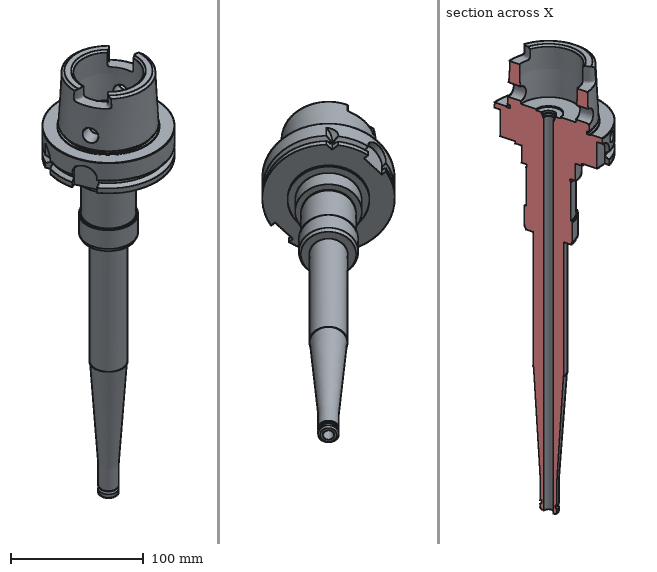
import cadquery as cq
import math

total_length = 386.0
eps = 2.0

flange_top = 336.0
taper_top_radius = 35.5
taper_base_radius = 38.0
rim_chamfer_height = 1.5
rim_chamfer_width = 2.5
taper_top = total_length - rim_chamfer_height
neck_radius = 35.5
neck_height = 1.0
taper_base = 338.0
face_groove_radius = 38.5
face_groove_depth = 0.8

flange_radius = 100.0 / 2
flange_edge = 0.5
groove_top = 319.5
groove_floor_top = 317.3
groove_floor_bottom = 314.5
groove_bottom = 312.5
groove_floor_radius = 46.0
flange_bottom = 308.0
hub_radius = 31.0
hub_bottom = 306.0

boss_radius = 25.0
boss_bottom = 291.5
undercut_radius = 20.0
undercut_bottom = 289.0
undercut_slope = 1.5
neck_body_radius = 21.0
collar_radius = 22.5
collar_top = 256.3
collar_bottom = 235.5
collar_top_chamfer = 0.8
collar_bottom_chamfer_height = 3.0
collar_bottom_chamfer_width = 1.5

shaft_radius = 29.0 / 2
cone_top = 121.0
cone_top_radius = 28.0 / 2
cone_bottom = 27.8
tip_radius = 16.0 / 2
tip_groove_radius = 13.0 / 2
tip_groove_top = 7.7
tip_groove_floor_bottom = 6.0
tip_groove_bottom = 4.5
tip_chamfer = 1.5

bore_radius = 53.0 / 2
bore_mouth_radius = 28.0
bore_mouth_chamfer = 1.5
bore_cone_top = 365.5
bore_floor_radius = 25.0
bore_floor = 342.0
recess_radius = 22.5 / 2
recess_depth = 1.0
coolant_radius = 8.5 / 2
coolant_mouth_radius = 12.0 / 2
coolant_mouth_depth = 2.0
coolant_step_radius = 10.0 / 2
coolant_step_depth = 4.0

cross_hole_z = 350.5
cross_hole_radius = 12.0 / 2
cross_sink_radius = 13.0 / 2
cross_sink_depth = 2.0

key_half_width = 10.5
key_flare_radius = 5.8
key_flare_start = 26.5
key_inner_end = 19.3
key_outer_end = 40.5
key_floor_fillet = 2.5
front_key_floor = 375.5
back_key_floor = 371.5

slot_radius = 10.0
slot_top = 330.8
drive_slot_floor = 44.8
notch_wall = 32.0
chip_hole_radius = 9.0 / 2
chip_hole_depth = 4.5
chip_hole_z = 329.5
chip_hole_angle = 108.5


def revolve_profile(points):
    """Solid of revolution about Z from (radius, z) points."""
    return cq.Workplane("XZ").polyline(points).close().revolve(360, (0, 0, 0), (0, 1, 0))


def make_body():
    return revolve_profile([
        (0, 0),
        (tip_radius - tip_chamfer, 0),
        (tip_radius, tip_chamfer),
        (tip_radius, tip_groove_bottom),
        (tip_groove_radius, tip_groove_floor_bottom),
        (tip_groove_radius, tip_groove_top),
        (tip_radius, tip_groove_top),
        (tip_radius, cone_bottom),
        (cone_top_radius, cone_top),
        (shaft_radius, cone_top),
        (shaft_radius, collar_bottom),
        (collar_radius - collar_bottom_chamfer_width, collar_bottom),
        (collar_radius, collar_bottom + collar_bottom_chamfer_height),
        (collar_radius, collar_top - collar_top_chamfer),
        (collar_radius - collar_top_chamfer, collar_top),
        (neck_body_radius, collar_top),
        (neck_body_radius, undercut_bottom),
        (undercut_radius, undercut_bottom + undercut_slope),
        (undercut_radius, boss_bottom),
        (boss_radius, boss_bottom),
        (boss_radius, hub_bottom),
        (hub_radius, hub_bottom),
        (hub_radius, flange_bottom),
        (flange_radius, flange_bottom),
        (flange_radius, groove_bottom),
        (groove_floor_radius, groove_floor_bottom),
        (groove_floor_radius, groove_floor_top),
        (flange_radius, groove_top),
        (flange_radius, flange_top - flange_edge),
        (flange_radius - flange_edge, flange_top),
        (face_groove_radius, flange_top),
        (face_groove_radius, flange_top - face_groove_depth),
        (neck_radius, flange_top - face_groove_depth),
        (neck_radius, flange_top + neck_height),
        (taper_base_radius, taper_base),
        (taper_top_radius, taper_top),
        (taper_top_radius - rim_chamfer_width, total_length),
        (0, total_length),
    ])


def make_bore():
    recess_floor = bore_floor - recess_depth
    return revolve_profile([
        (0, -eps),
        (coolant_radius, -eps),
        (coolant_radius, recess_floor - coolant_step_depth),
        (coolant_step_radius, recess_floor - coolant_step_depth),
        (coolant_step_radius, recess_floor - coolant_mouth_depth),
        (coolant_mouth_radius, recess_floor - coolant_mouth_depth),
        (coolant_mouth_radius, recess_floor),
        (recess_radius, recess_floor),
        (recess_radius, bore_floor),
        (bore_floor_radius, bore_floor),
        (bore_radius, bore_cone_top),
        (bore_radius, total_length - bore_mouth_chamfer),
        (bore_mouth_radius, total_length),
        (0, total_length),
    ])


def make_key_slot(floor_z, side):
    """Rim slot on the +Y (side=1) or -Y (side=-1) wall, flaring outward with rounded corners."""
    flare_width = key_half_width + key_flare_radius
    flare_end = key_flare_start + key_flare_radius
    arc_offset = key_flare_radius * math.sqrt(0.5)
    mid_width = flare_width - arc_offset
    mid_y = key_flare_start + arc_offset
    slot = (
        cq.Workplane("XY", origin=(0, 0, floor_z))
        .moveTo(key_half_width, side * key_inner_end)
        .lineTo(key_half_width, side * key_flare_start)
        .threePointArc((mid_width, side * mid_y), (flare_width, side * flare_end))
        .lineTo(flare_width, side * key_outer_end)
        .lineTo(-flare_width, side * key_outer_end)
        .lineTo(-flare_width, side * flare_end)
        .threePointArc((-mid_width, side * mid_y), (-key_half_width, side * key_flare_start))
        .lineTo(-key_half_width, side * key_inner_end)
        .close()
        .extrude(total_length + eps - floor_z)
    )
    return slot.faces("<Z").edges("not |X").fillet(key_floor_fillet)


def make_cross_hole():
    """Hole along Y through both walls, countersunk at the taper surface."""
    span = 2 * flange_radius
    hole = (
        cq.Workplane("XZ", origin=(0, span / 2, cross_hole_z))
        .circle(cross_hole_radius)
        .extrude(span)
    )
    rise = (cross_hole_z - taper_base) / (taper_top - taper_base)
    wall_radius = taper_base_radius + rise * (taper_top_radius - taper_base_radius)
    for side in (1, -1):
        surface_point = cq.Vector(0, side * wall_radius, cross_hole_z)
        inward = cq.Vector(0, -side, 0)
        sink = cq.Solid.makeCone(
            cross_sink_radius, cross_hole_radius, cross_sink_depth, surface_point, inward
        )
        clearance = cq.Solid.makeCylinder(cross_sink_radius, eps, surface_point, inward * -1)
        hole = hole.union(cq.Workplane(obj=sink)).union(cq.Workplane(obj=clearance))
    return hole


def make_milled_slot(center_x, floor_distance, side):
    """Round-topped slot cut from the +Y or -Y side down through the flange underside."""
    center_z = slot_top - slot_radius
    depth = flange_radius + eps - floor_distance
    return (
        cq.Workplane("XZ", origin=(0, side * floor_distance, 0))
        .moveTo(center_x - slot_radius, flange_bottom - eps)
        .lineTo(center_x - slot_radius, center_z)
        .threePointArc((center_x, slot_top), (center_x + slot_radius, center_z))
        .lineTo(center_x + slot_radius, flange_bottom - eps)
        .close()
        .extrude(-side * depth)
    )


def make_chip_hole():
    """Blind radial hole in the flange rim."""
    angle = math.radians(chip_hole_angle)
    outward = cq.Vector(math.cos(angle), math.sin(angle), 0)
    start = outward * (flange_radius - chip_hole_depth) + cq.Vector(0, 0, chip_hole_z)
    return cq.Workplane(obj=cq.Solid.makeCylinder(chip_hole_radius, chip_hole_depth + eps, start, outward))


result = (
    make_body()
    .cut(make_bore())
    .cut(make_key_slot(front_key_floor, -1))
    .cut(make_key_slot(back_key_floor, 1))
    .cut(make_cross_hole())
    .cut(make_milled_slot(0, drive_slot_floor, -1))
    .cut(make_milled_slot(0, drive_slot_floor, 1))
    .cut(make_milled_slot(-notch_wall - slot_radius, notch_wall, -1))
    .cut(make_chip_hole())
)